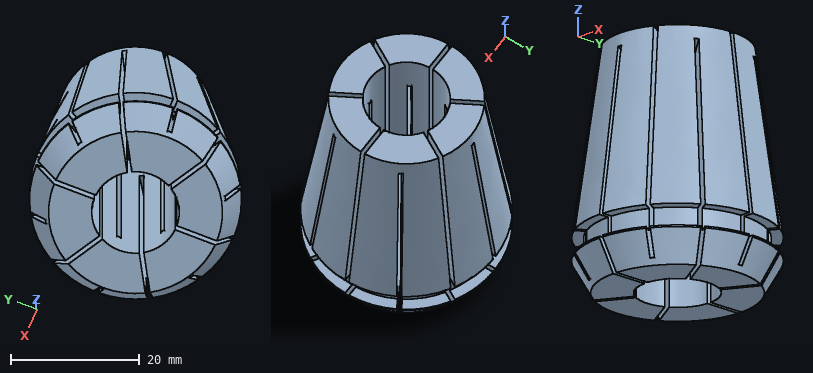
import cadquery as cq
import math

height = 40.0
max_diameter = 33.0
bore_diameter = 13.6

flange_rim_z = 5.15
groove_bottom_z = 5.45
groove_top_z = 9.05
groove_diameter = 29.2
clamping_angle = 30.0
taper_angle = 8.0

slots_per_end = 6
slot_width = 0.7
blade_radius = 18.0
top_blade_center = (20.0, 18.05)
bottom_blade_center = (20.65, 21.65)

max_radius = max_diameter / 2
top_radius = max_radius - (height - groove_top_z) * math.tan(math.radians(taper_angle))
bottom_radius = max_radius - flange_rim_z * math.tan(math.radians(clamping_angle))
slot_pitch = 360.0 / slots_per_end


def collet_body():
    """Revolve the wall section: lower cone, rim, groove and long taper around the bore."""
    bore_radius = bore_diameter / 2
    groove_radius = groove_diameter / 2
    section = (
        cq.Workplane("XZ")
        .moveTo(bore_radius, 0)
        .lineTo(bottom_radius, 0)
        .lineTo(max_radius, flange_rim_z)
        .lineTo(max_radius, groove_bottom_z)
        .lineTo(groove_radius, groove_bottom_z)
        .lineTo(groove_radius, groove_top_z)
        .lineTo(max_radius, groove_top_z)
        .lineTo(top_radius, height)
        .lineTo(bore_radius, height)
        .close()
    )
    return section.revolve(360, (0, 0, 0), (0, 1, 0))


def slot_cutter(blade_center, open_z, angle):
    """Slot with a blade-shaped blind end, open at height open_z, turned by angle about Z."""
    center_r, center_z = blade_center
    toward_end = math.copysign(1, center_z - open_z)
    inner_r = center_r - blade_radius
    diagonal = blade_radius * math.sqrt(0.5)
    arc_middle = (center_r - diagonal, center_z + toward_end * diagonal)
    arc_end = (center_r, center_z + toward_end * blade_radius)
    return (
        cq.Workplane("XZ")
        .moveTo(inner_r, open_z)
        .lineTo(inner_r, center_z)
        .threePointArc(arc_middle, arc_end)
        .lineTo(center_r, open_z)
        .close()
        .extrude(slot_width / 2, both=True)
        .rotate((0, 0, 0), (0, 0, 1), angle)
    )


result = collet_body()

for index in range(slots_per_end):
    top_slot_angle = index * slot_pitch
    bottom_slot_angle = top_slot_angle + slot_pitch / 2
    result = result.cut(slot_cutter(top_blade_center, height, top_slot_angle))
    result = result.cut(slot_cutter(bottom_blade_center, 0, bottom_slot_angle))